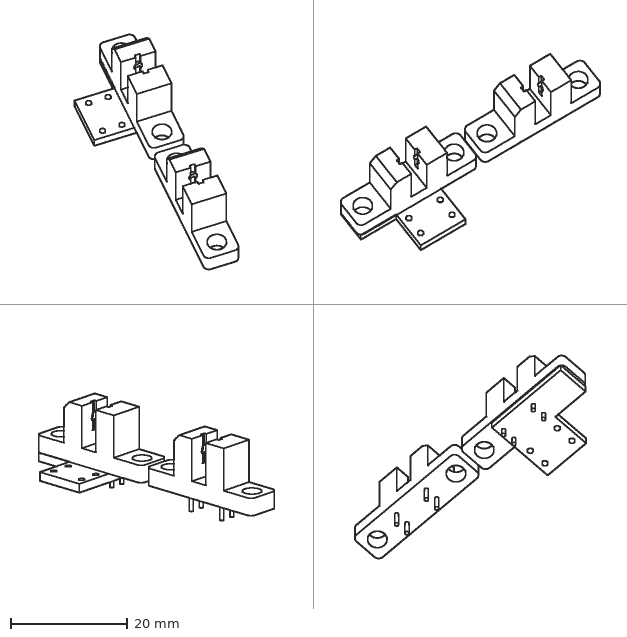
import cadquery as cq

TOTAL_LENGTH = 50.6
SENSOR_LENGTH = 24.75
SENSOR_PITCH = TOTAL_LENGTH - SENSOR_LENGTH

SENSOR_DEPTH = 6.45
SENSOR_HEIGHT = 10.9
FLANGE_THICKNESS = 3.2
FLANGE_CORNER_RADIUS = 1.0
TOWER_WIDTH = 4.25
TOWER_GAP = 3.25
TOWER_CHAMFER = 1.25
MOUNT_HOLE_DIAMETER = 3.35
MOUNT_HOLE_SPACING = 19.05

SLIT_WIDTH = 0.9
SLIT_HEIGHT = 5.1
SLIT_DEPTH = 0.5
RECESS_DIAMETER = 1.5
RECESS_DEPTH = 1.0
RECESS_BELOW_TOP = 2.75

PIN_DIAMETER = 0.7
PIN_LENGTH = 3.15
PIN_SPACING_X = 7.2
PIN_SPACING_Y = 2.55

BOARD_THICKNESS = 1.6
BOARD_END_INSET = 0.4
BOARD_SIDE_INSET = 0.15
TAB_WIDTH = 9.3
TAB_OVERHANG = 7.4
TAB_HOLE_DIAMETER = 1.0
TAB_HOLE_SPACING_X = 6.55
TAB_HOLE_SPACING_Y = 3.6
TAB_HOLE_EDGE_DISTANCE = 2.1

SENSOR_MIDDLE = SENSOR_LENGTH / 2


def terminal_pins(length):
    """Four round pins hanging down from the sensor underside at Z = 0."""
    return (
        cq.Workplane("XY")
        .center(SENSOR_MIDDLE, 0)
        .rarray(PIN_SPACING_X, PIN_SPACING_Y, 2, 2)
        .circle(PIN_DIAMETER / 2)
        .extrude(-length)
    )


def flange():
    """Rounded mounting flange with a through hole near each end."""
    return (
        cq.Workplane("XY")
        .center(SENSOR_MIDDLE, 0)
        .rect(SENSOR_LENGTH, SENSOR_DEPTH)
        .extrude(FLANGE_THICKNESS)
        .edges("|Z")
        .fillet(FLANGE_CORNER_RADIUS)
        .faces(">Z")
        .workplane(origin=(SENSOR_MIDDLE, 0, FLANGE_THICKNESS))
        .rarray(MOUNT_HOLE_SPACING, SENSOR_DEPTH, 2, 1)
        .hole(MOUNT_HOLE_DIAMETER)
    )


def tower(center_x):
    """Plain rectangular tower standing on the flange."""
    return (
        cq.Workplane("XY", origin=(center_x, 0, FLANGE_THICKNESS))
        .rect(TOWER_WIDTH, SENSOR_DEPTH)
        .extrude(SENSOR_HEIGHT - FLANGE_THICKNESS)
    )


def apertures():
    """Cutter for the facing slits and round recesses on both sides of the gap."""
    slit_span = TOWER_GAP + 2 * SLIT_DEPTH
    recess_span = TOWER_GAP + 2 * RECESS_DEPTH
    slit_center = (SENSOR_MIDDLE, 0, SENSOR_HEIGHT - SLIT_HEIGHT / 2)
    recess_center = (SENSOR_MIDDLE, 0, SENSOR_HEIGHT - RECESS_BELOW_TOP)
    slit = cq.Workplane("XY", origin=slit_center).box(slit_span, SLIT_WIDTH, SLIT_HEIGHT)
    recess = (
        cq.Workplane("YZ", origin=recess_center)
        .circle(RECESS_DIAMETER / 2)
        .extrude(recess_span / 2, both=True)
    )
    return slit.union(recess)


def make_sensor():
    """Slotted sensor with its left end at X = 0 and its underside at Z = 0."""
    tower_offset = (TOWER_GAP + TOWER_WIDTH) / 2
    left_tower = tower(SENSOR_MIDDLE - tower_offset).edges("<X and >Z").chamfer(TOWER_CHAMFER)
    right_tower = tower(SENSOR_MIDDLE + tower_offset)
    return (
        flange()
        .union(left_tower)
        .union(right_tower)
        .cut(apertures())
        .union(terminal_pins(PIN_LENGTH))
    )


def make_board():
    """L-shaped board under the sensor, pierced by its pins, with a tab centred on the sensor."""
    bar_edge = SENSOR_DEPTH / 2 - BOARD_SIDE_INSET
    tab_left = SENSOR_MIDDLE - TAB_WIDTH / 2
    right_end = tab_left + TAB_WIDTH
    tab_end = -SENSOR_DEPTH / 2 - TAB_OVERHANG
    outline = [
        (BOARD_END_INSET, bar_edge),
        (right_end, bar_edge),
        (right_end, tab_end),
        (tab_left, tab_end),
        (tab_left, -bar_edge),
        (BOARD_END_INSET, -bar_edge),
    ]
    tab_holes = (
        cq.Workplane("XY")
        .center(
            SENSOR_MIDDLE,
            tab_end + TAB_HOLE_EDGE_DISTANCE + TAB_HOLE_SPACING_Y / 2,
        )
        .rarray(TAB_HOLE_SPACING_X, TAB_HOLE_SPACING_Y, 2, 2)
        .circle(TAB_HOLE_DIAMETER / 2)
        .extrude(-BOARD_THICKNESS)
    )
    return (
        cq.Workplane("XY")
        .polyline(outline)
        .close()
        .extrude(-BOARD_THICKNESS)
        .cut(tab_holes)
        .cut(terminal_pins(BOARD_THICKNESS))
    )


sensors = [make_sensor().translate((i * SENSOR_PITCH, 0, 0)) for i in range(2)]
board = make_board()

result = cq.Compound.makeCompound([*[sensor.val() for sensor in sensors], board.val()])